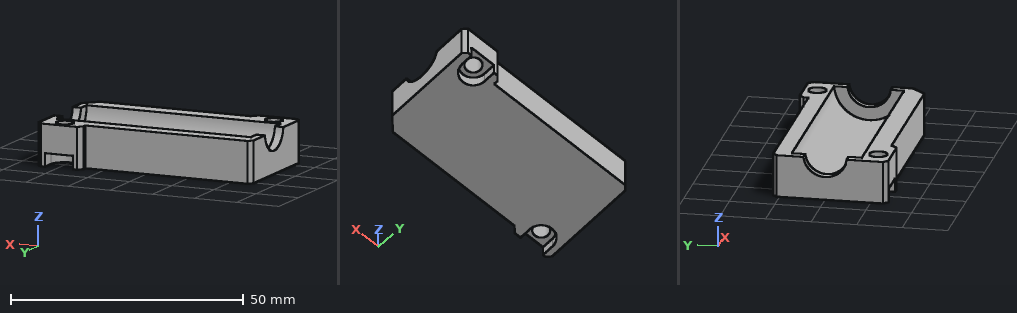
import cadquery as cq

length = 50
width = 27.4
height = 9.45
corner_chamfer = 1
clipped_corner_chamfer = 3

front_setback = 1.35
rear_setback = 2.1
front_lug_length = 10
rear_lug_length = 10.6

axis_gap = 0.5
cavity_radius = 7.7
opening_radius = 4.75
end_wall = 2

hole_diameter = 3.9
hole_offset_y = 10.7
front_hole_inset = 5
rear_hole_inset = 5.3
recess_width = 6.55
recess_depth = 3

right = length / 2
left = -right
rear = width / 2
front = -rear
rear_wall = rear - rear_setback
front_wall = front + front_setback
rear_lug_x = right - rear_lug_length
front_lug_x = left + front_lug_length


def make_block():
    outline = [
        (left + corner_chamfer, front),
        (front_lug_x, front),
        (front_lug_x + front_setback, front_wall),
        (right - clipped_corner_chamfer, front_wall),
        (right, front_wall + clipped_corner_chamfer),
        (right, rear - corner_chamfer),
        (right - corner_chamfer, rear),
        (rear_lug_x + corner_chamfer, rear),
        (rear_lug_x, rear - corner_chamfer),
        (rear_lug_x, rear_wall),
        (left + corner_chamfer, rear_wall),
        (left, rear_wall - corner_chamfer),
        (left, front + corner_chamfer),
    ]
    return cq.Workplane("XY").polyline(outline).close().extrude(height)


def make_bore(radius, bore_length):
    """Cylinder along X, centred lengthwise on the shared axis."""
    return (
        cq.Workplane("YZ")
        .center(0, height + axis_gap)
        .circle(radius)
        .extrude(bore_length / 2, both=True)
    )


def make_screw_cut(x, side):
    """Through hole and round-ended recess; side is -1 for front, +1 for rear."""
    y = side * hole_offset_y
    edge_distance = rear - hole_offset_y
    hole = cq.Workplane("XY").center(x, y).circle(hole_diameter / 2).extrude(height)
    round_end = cq.Workplane("XY").center(x, y).circle(recess_width / 2).extrude(recess_depth)
    open_end = (
        cq.Workplane("XY")
        .center(x, y + side * edge_distance / 2)
        .rect(recess_width, edge_distance)
        .extrude(recess_depth)
    )
    return hole.union(round_end).union(open_end)


result = (
    make_block()
    .cut(make_bore(cavity_radius, length - 2 * end_wall))
    .cut(make_bore(opening_radius, length))
    .cut(make_screw_cut(left + front_hole_inset, -1))
    .cut(make_screw_cut(right - rear_hole_inset, 1))
)